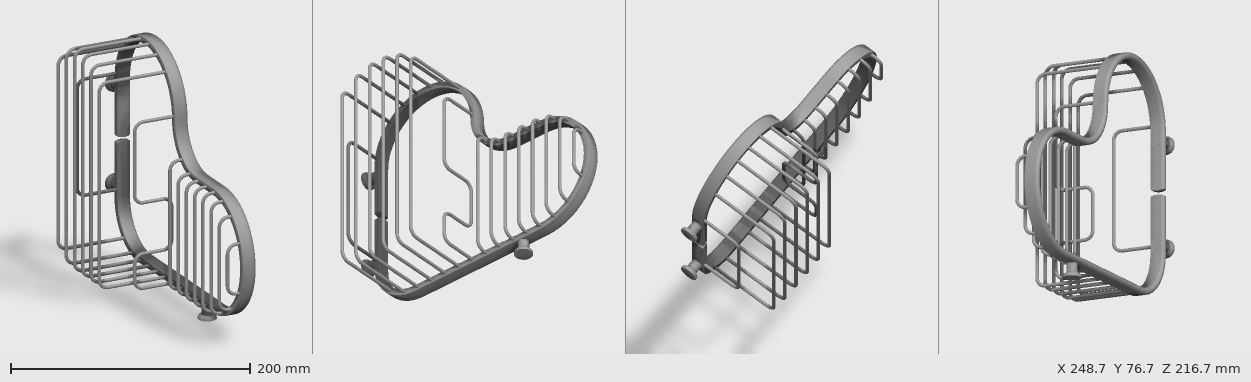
import cadquery as cq
import math


band_width = 236.22
band_height = 204.19
band_thickness = 6.0
band_depth = 12.85
back_edge_radius = 2.95
front_edge_radius = 0.5
lobe_radius = 55.7
corner_radius = 44.2
notch_radius = band_height - 3 * lobe_radius

upper_lobe_x = lobe_radius
upper_lobe_z = band_height - lobe_radius
right_lobe_x = band_width - lobe_radius
right_lobe_z = lobe_radius
notch_center_x = 2 * lobe_radius + notch_radius
lower_left_angle = 225
half_thickness = band_thickness / 2
lobe_mid_radius = lobe_radius - half_thickness
notch_mid_radius = notch_radius + half_thickness
corner_mid_radius = corner_radius - half_thickness

gap_z = (corner_radius + upper_lobe_z) / 2
gap_mid_height = 3.4
gap_edge_height = 6.2

post_length = 12.5
post_diameter = 9.5
post_y = -7.3
post_protrusion = 0.2
flange_diameter = 16.0
flange_thickness = 4.0
flange_edge_radius = 3.0
side_post_offset = 44.6
bottom_post_x = 159.5

wire_diameter = 3.0
first_wire_x = 2.45
wire_pitch = 15.06
bend_radius = 8.0
wire_count = 16
front_step = 25.5
deep_y = -74.5
middle_y = deep_y + front_step
shallow_y = middle_y + front_step
wire_end_y = -band_depth / 2
last_deep_wire = 6
stepped_wire = 7
left_wire_top_z = 154.7
left_wire_bottom_z = 51.0
stepped_wire_top_z = 151.3
step_top_z = 79.2
step_bottom_z = 33.7
step_y = -14.2


def point_on_circle(center_x, center_z, radius, angle):
    """Point at an angle, in degrees, on a circle."""
    turn = math.radians(angle)
    return (center_x + radius * math.cos(turn), center_z + radius * math.sin(turn))


def band_outline():
    return (
        cq.Workplane("XZ")
        .moveTo(corner_radius, 0)
        .lineTo(right_lobe_x, 0)
        .threePointArc((band_width, right_lobe_z), (right_lobe_x, 2 * lobe_radius))
        .lineTo(notch_center_x, 2 * lobe_radius)
        .threePointArc(
            point_on_circle(notch_center_x, upper_lobe_z, notch_radius, lower_left_angle),
            (2 * lobe_radius, upper_lobe_z),
        )
        .threePointArc((upper_lobe_x, band_height), (0, upper_lobe_z))
        .lineTo(0, corner_radius)
        .threePointArc(
            point_on_circle(corner_radius, corner_radius, corner_radius, lower_left_angle),
            (corner_radius, 0),
        )
        .close()
    )


def make_band():
    outer = band_outline().extrude(band_depth)
    inner = band_outline().offset2D(-band_thickness).extrude(band_depth)
    band = outer.cut(inner).faces(">Y").edges().fillet(back_edge_radius)
    return band.faces("<Y").edges().fillet(front_edge_radius)


def gap_cutter():
    mid = gap_mid_height / 2
    edge = gap_edge_height / 2
    return (
        cq.Workplane("YZ", origin=(0, 0, gap_z))
        .moveTo(0, -edge)
        .threePointArc((-band_depth / 2, -mid), (-band_depth, -edge))
        .lineTo(-band_depth, edge)
        .threePointArc((-band_depth / 2, mid), (0, edge))
        .close()
        .extrude(band_thickness)
    )


def make_post():
    """Post pointing along -X from the outer face of the band at the origin."""
    flange = (
        cq.Workplane("YZ", origin=(-post_length, 0, 0))
        .circle(flange_diameter / 2)
        .extrude(flange_thickness)
        .faces(">X")
        .edges()
        .fillet(flange_edge_radius)
    )
    shaft = (
        cq.Workplane("YZ", origin=(-post_length, 0, 0))
        .circle(post_diameter / 2)
        .extrude(post_length + band_thickness + post_protrusion)
    )
    return flange.union(shaft)


def make_posts():
    post = make_post()
    upper = post.translate((0, post_y, gap_z + side_post_offset))
    lower = post.translate((0, post_y, gap_z - side_post_offset))
    bottom = post.rotate((0, 0, 0), (0, 1, 0), -90).translate((bottom_post_x, post_y, 0))
    return [upper, lower, bottom]


def rise(radius, run):
    """Height of a circle of the given radius at a horizontal distance from its center."""
    return math.sqrt(radius ** 2 - run ** 2)


def band_top(x):
    """Height of the middle line of the upper side of the band."""
    if x < 2 * lobe_radius - half_thickness:
        return upper_lobe_z + rise(lobe_mid_radius, x - upper_lobe_x)
    if x < notch_center_x:
        return upper_lobe_z - rise(notch_mid_radius, x - notch_center_x)
    if x < right_lobe_x:
        return 2 * lobe_radius - half_thickness
    return right_lobe_z + rise(lobe_mid_radius, x - right_lobe_x)


def band_bottom(x):
    """Height of the middle line of the lower side of the band."""
    if x < corner_radius:
        return corner_radius - rise(corner_mid_radius, x - corner_radius)
    if x < right_lobe_x:
        return half_thickness
    return right_lobe_z - rise(lobe_mid_radius, x - right_lobe_x)


def shift_toward(start, target, distance):
    """Point at a distance from start on the way to target."""
    length = math.dist(start, target)
    return tuple(s + (t - s) * distance / length for s, t in zip(start, target))


def make_wire(x, corners):
    """Round wire in the plane at x through (y, z) corners that turn by right angles."""
    path = cq.Workplane("YZ", origin=(x, 0, 0)).moveTo(*corners[0])
    mid_share = 1 - math.sqrt(0.5)
    for before, corner, after in zip(corners, corners[1:], corners[2:]):
        bend_start = shift_toward(corner, before, bend_radius)
        bend_end = shift_toward(corner, after, bend_radius)
        bend_mid = tuple(
            c + mid_share * (s + e - 2 * c) for s, c, e in zip(bend_start, corner, bend_end)
        )
        path = path.lineTo(*bend_start).threePointArc(bend_mid, bend_end)
    path = path.lineTo(*corners[-1])
    start_y, start_z = corners[0]
    start_plane = cq.Plane(origin=(x, start_y, start_z), xDir=(0, 0, 1), normal=(0, -1, 0))
    profile = cq.Workplane(start_plane).circle(wire_diameter / 2)
    return profile.sweep(path)


def u_corners(front_y, bottom_z, top_z):
    return [(wire_end_y, top_z), (front_y, top_z), (front_y, bottom_z), (wire_end_y, bottom_z)]


def stepped_corners(bottom_z):
    """Corners of the wire whose front run steps back toward the band."""
    return [
        (wire_end_y, stepped_wire_top_z),
        (middle_y, stepped_wire_top_z),
        (middle_y, step_top_z),
        (step_y, step_top_z),
        (step_y, step_bottom_z),
        (middle_y, step_bottom_z),
        (middle_y, bottom_z),
        (wire_end_y, bottom_z),
    ]


def make_wires():
    wires = [make_wire(first_wire_x, u_corners(middle_y, left_wire_bottom_z, left_wire_top_z))]
    for index in range(1, wire_count):
        x = first_wire_x + index * wire_pitch
        if index == stepped_wire:
            corners = stepped_corners(band_bottom(x))
        elif index <= last_deep_wire:
            corners = u_corners(deep_y, band_bottom(x), band_top(x))
        else:
            corners = u_corners(shallow_y, band_bottom(x), band_top(x))
        wires.append(make_wire(x, corners))
    return wires


basket = make_band().cut(gap_cutter())
for piece in make_posts() + make_wires():
    basket = basket.union(piece)

result = basket